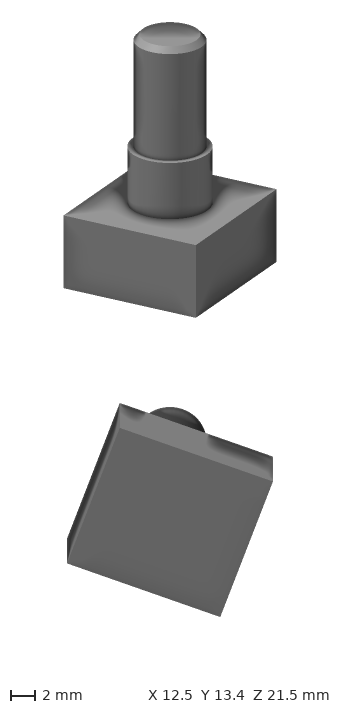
import cadquery as cq

total_height = 21.5
base_length = 12.5
base_width = 13.4
base_height = 6.5
collar_diameter = 7.0
collar_height = 5.0
pin_diameter = 6.0
tip_chamfer = 0.5

pin_height = total_height - base_height - collar_height

base = cq.Workplane("XY").box(base_length, base_width, base_height, centered=(True, True, False))

collar = base.faces(">Z").workplane().circle(collar_diameter / 2).extrude(collar_height)

pin = collar.faces(">Z").workplane().circle(pin_diameter / 2).extrude(pin_height)
result = pin.faces(">Z").edges().chamfer(tip_chamfer)